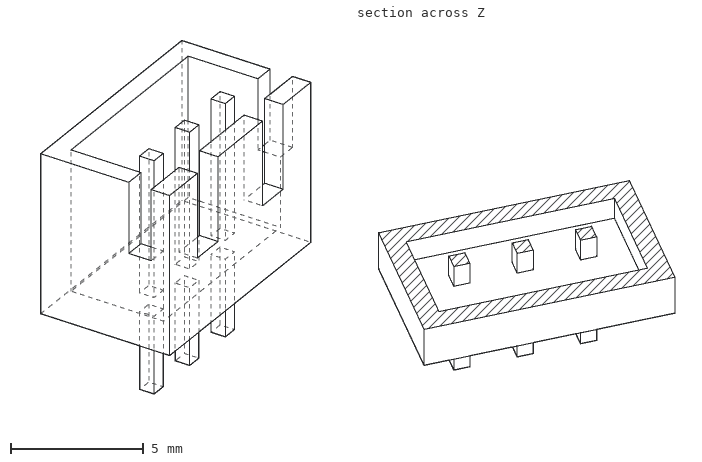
import cadquery as cq

depth_x = 5.75
width_y = 9.9
body_height = 7.0
wall = 0.82
end_wall = 0.85
floor_thickness = wall

side_slot_width = 1.0
side_slot_depth = 3.11
notch_width = 1.45
notch_spacing = 4.57
notch_depth = 3.7

pin_count = 3
pin_pitch = 2.5
pin_size = 0.65
overall_height = 10.4
tail_length = overall_height - body_height
pin_top = 6.8
pin_from_back = 3.38

back_x = -depth_x / 2
front_x = depth_x / 2


def block(size_x, size_y, bottom, top, x=0, y=0):
    """Upright block centred on (x, y), spanning bottom to top."""
    return (
        cq.Workplane("XY", origin=(x, y, bottom))
        .rect(size_x, size_y)
        .extrude(top - bottom)
    )


housing = block(depth_x, width_y, 0, body_height)
cavity = block(depth_x - 2 * wall, width_y - 2 * end_wall, floor_thickness, body_height)
housing = housing.cut(cavity)

slot_x = front_x - wall - side_slot_width / 2
slot_bottom = body_height - side_slot_depth
housing = housing.cut(block(side_slot_width, width_y, slot_bottom, body_height, slot_x))

notch_x = front_x - wall / 2
notch_bottom = body_height - notch_depth
for side in (-1, 1):
    notch_y = side * notch_spacing / 2
    notch = block(wall, notch_width, notch_bottom, body_height, notch_x, notch_y)
    housing = housing.cut(notch)

pin_x = back_x + pin_from_back
result = housing
for index in range(pin_count):
    pin_y = (index - (pin_count - 1) / 2) * pin_pitch
    pin = block(pin_size, pin_size, -tail_length, pin_top, pin_x, pin_y)
    result = result.union(pin)